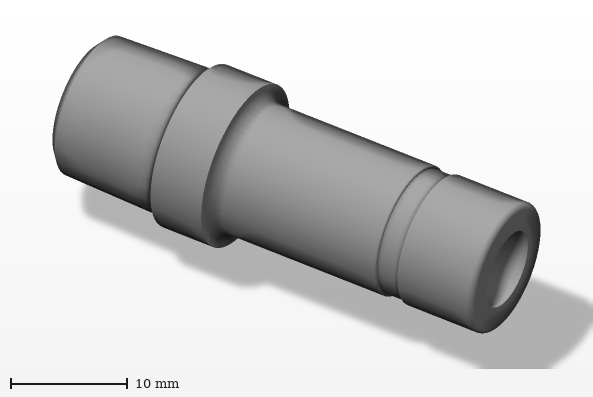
import cadquery as cq

LENGTH = 42.0
GAUGE_PLANE_X = 6.0
COLLAR_START_X = 10.9
COLLAR_WIDTH = 5.05
GROOVE_START_X = 32.3
GROOVE_WIDTH = 2.4

COLLAR_DIAMETER = 15.0
GAUGE_DIAMETER = 13.15
NOSE_DIAMETER = 11.0
SHAFT_DIAMETER = 12.0
BORE_DIAMETER = 7.0

THREAD_TAPER = 1 / 16
NOSE_CHAMFER_LENGTH = 0.8
COLLAR_FILLET = 1.0
GROOVE_DEPTH = 0.25
GROOVE_EDGE_ROUND = 0.15
END_FILLET = 0.5

COLLAR_END_X = COLLAR_START_X + COLLAR_WIDTH
GROOVE_END_X = GROOVE_START_X + GROOVE_WIDTH
SHAFT_RADIUS = SHAFT_DIAMETER / 2
GROOVE_RADIUS = SHAFT_RADIUS - GROOVE_DEPTH


def taper_radius(x):
    """Radius of the tapered thread body at station x."""
    return (GAUGE_DIAMETER + (x - GAUGE_PLANE_X) * THREAD_TAPER) / 2


def make_body():
    """Solid of revolution about X: tapered thread, collar and grooved shaft."""
    groove_wall_start = GROOVE_START_X + GROOVE_EDGE_ROUND
    groove_wall_end = GROOVE_END_X - GROOVE_EDGE_ROUND
    groove_round_foot = SHAFT_RADIUS - GROOVE_EDGE_ROUND
    profile = (
        cq.Workplane("XY")
        .moveTo(0, 0)
        .lineTo(0, NOSE_DIAMETER / 2)
        .lineTo(NOSE_CHAMFER_LENGTH, taper_radius(NOSE_CHAMFER_LENGTH))
        .lineTo(COLLAR_START_X, taper_radius(COLLAR_START_X))
        .lineTo(COLLAR_START_X, COLLAR_DIAMETER / 2)
        .lineTo(COLLAR_END_X, COLLAR_DIAMETER / 2)
        .lineTo(COLLAR_END_X, SHAFT_RADIUS + COLLAR_FILLET)
        .radiusArc((COLLAR_END_X + COLLAR_FILLET, SHAFT_RADIUS), -COLLAR_FILLET)
        .lineTo(GROOVE_START_X, SHAFT_RADIUS)
        .radiusArc((groove_wall_start, groove_round_foot), GROOVE_EDGE_ROUND)
        .lineTo(groove_wall_start, GROOVE_RADIUS)
        .lineTo(groove_wall_end, GROOVE_RADIUS)
        .lineTo(groove_wall_end, groove_round_foot)
        .radiusArc((GROOVE_END_X, SHAFT_RADIUS), GROOVE_EDGE_ROUND)
        .lineTo(LENGTH, SHAFT_RADIUS)
        .lineTo(LENGTH, 0)
        .close()
    )
    return profile.revolve(360, (0, 0, 0), (1, 0, 0))


def make_bore():
    """Straight passage through the whole length."""
    return cq.Workplane("YZ").circle(BORE_DIAMETER / 2).extrude(LENGTH)


body = make_body().faces(">X").edges().fillet(END_FILLET)
result = body.cut(make_bore())